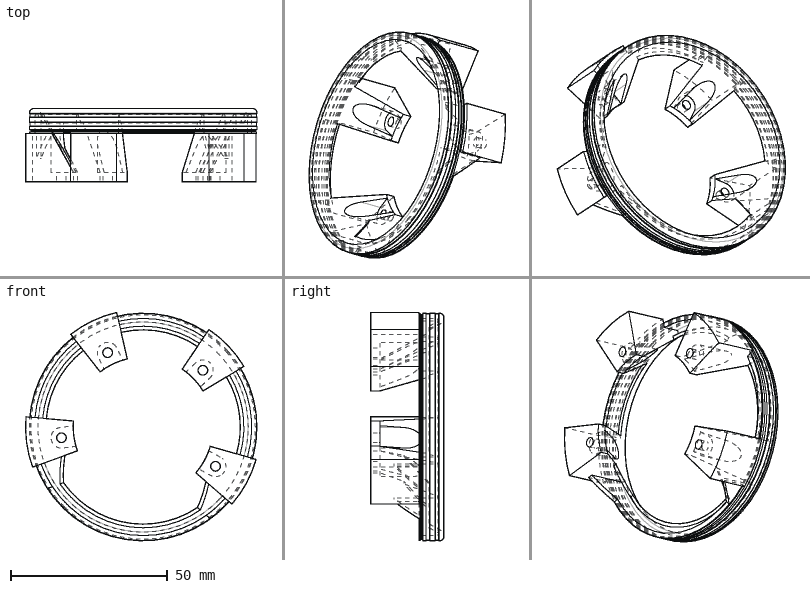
import math

import cadquery as cq


RING_HEIGHT = 8.0
RING_RADIUS = 36.3
RIM_RADIUS = 36.2
BACK_FILLET = 1.4
GROOVE_DEPTH = 0.15
GROOVES = ((2.2, 3.6), (5.1, 6.4))
NECK_FRONT = 0.4
NECK_BACK = 1.3
NECK_DEPTH = 0.45
NECK_FLOOR_WIDTH = 0.3

CHANNEL_RADIUS = 34.6
CHANNEL_FLOOR_RADIUS = 0.6
INNER_WALL_THICKNESS = 1.2
INNER_WALL_FRONT = 3.3

FOOT_COUNT = 5
GAP_ANGLE = 259.5
FOOT_PITCH = 360 / FOOT_COUNT
FOOT_SPAN = 25.0
FOOT_LENGTH = 15.4
FOOT_INNER_RADIUS = 22.25
FOOT_OUTER_RADIUS = 37.5
FOOT_FLOOR = 3.0

CONE_START_Y = FOOT_FLOOR - FOOT_LENGTH
CONE_RADIUS_AT_RIM = 29.1
CONE_SLOPE = (FOOT_INNER_RADIUS - CONE_RADIUS_AT_RIM) / CONE_START_Y
BLANK_RADIUS = FOOT_INNER_RADIUS - 2.0

HOLE_DIAMETER = 3.0
HOLE_RADIAL_POSITION = 26.25
SLOT_WIDTH = 6.6
SLOT_END_Y = 2.0

WEB_LEG = 8.0


def cone_radius(y):
    """Radius of the inner conical surface at height y."""
    return CONE_RADIUS_AT_RIM + CONE_SLOPE * y


def turn(shape, angle):
    """Turn a shape about the ring axis from +X to the given angle."""
    return shape.rotate((0, 0, 0), (0, 1, 0), -angle)


def revolve_profile(profile):
    """Revolve a closed (radius, y) profile about the ring axis."""
    return profile.close().revolve(360, (0, 0, 0), (0, 1, 0))


def make_ring():
    """The ring with a straight bore; the inner cone is cut later."""
    groove_radius = RING_RADIUS - GROOVE_DEPTH
    neck_radius = RIM_RADIUS - NECK_DEPTH
    neck_middle = (NECK_FRONT + NECK_BACK) / 2

    profile = (
        cq.Workplane("XY")
        .moveTo(CHANNEL_RADIUS, 0)
        .lineTo(RIM_RADIUS, 0)
        .lineTo(RIM_RADIUS, NECK_FRONT)
        .lineTo(neck_radius, neck_middle - NECK_FLOOR_WIDTH / 2)
        .lineTo(neck_radius, neck_middle + NECK_FLOOR_WIDTH / 2)
        .lineTo(RING_RADIUS, NECK_BACK)
    )
    for front, back in GROOVES:
        profile = (
            profile.lineTo(RING_RADIUS, front)
            .lineTo(groove_radius, front + GROOVE_DEPTH)
            .lineTo(groove_radius, back - GROOVE_DEPTH)
            .lineTo(RING_RADIUS, back)
        )

    wall_angle = math.atan(CONE_SLOPE)
    round_center = CHANNEL_RADIUS - CHANNEL_FLOOR_RADIUS
    tangent_radius = round_center - CHANNEL_FLOOR_RADIUS * math.cos(wall_angle)
    wall_back_radius = cone_radius(INNER_WALL_FRONT) + INNER_WALL_THICKNESS
    tangent_y = INNER_WALL_FRONT + (tangent_radius - wall_back_radius) / CONE_SLOPE
    round_y = tangent_y - CHANNEL_FLOOR_RADIUS * math.sin(wall_angle)
    profile = (
        profile.lineTo(RING_RADIUS, RING_HEIGHT - BACK_FILLET)
        .radiusArc((RING_RADIUS - BACK_FILLET, RING_HEIGHT), -BACK_FILLET)
        .lineTo(BLANK_RADIUS, RING_HEIGHT)
        .lineTo(BLANK_RADIUS, INNER_WALL_FRONT)
        .lineTo(wall_back_radius, INNER_WALL_FRONT)
        .lineTo(tangent_radius, tangent_y)
        .threePointArc(
            (round_center, round_y + CHANNEL_FLOOR_RADIUS),
            (CHANNEL_RADIUS, round_y),
        )
    )
    return revolve_profile(profile)


def make_foot():
    """Solid foot on +X before the cone is cut, with its root filling the channel."""
    half_span = math.radians(FOOT_SPAN / 2)
    reach = 2 * FOOT_OUTER_RADIUS
    sector = (
        cq.Workplane("XZ", origin=(0, RING_HEIGHT, 0))
        .lineTo(reach, -reach * math.tan(half_span))
        .lineTo(reach, reach * math.tan(half_span))
        .close()
        .extrude(RING_HEIGHT + FOOT_LENGTH)
    )
    root_radius = (CHANNEL_RADIUS + RIM_RADIUS) / 2
    root_end_y = RING_HEIGHT - BACK_FILLET
    section = (
        cq.Workplane("XY")
        .moveTo(BLANK_RADIUS, -FOOT_LENGTH)
        .lineTo(FOOT_OUTER_RADIUS, -FOOT_LENGTH)
        .lineTo(FOOT_OUTER_RADIUS, 0)
        .lineTo(root_radius, 0)
        .lineTo(root_radius, root_end_y)
        .lineTo(BLANK_RADIUS, root_end_y)
    )
    return revolve_profile(section).intersect(sector)


def make_inner_cone():
    """Core removed from the ring, the feet and the webs."""
    return revolve_profile(
        cq.Workplane("XY")
        .moveTo(0, -FOOT_LENGTH)
        .lineTo(FOOT_INNER_RADIUS, -FOOT_LENGTH)
        .lineTo(FOOT_INNER_RADIUS, CONE_START_Y)
        .lineTo(cone_radius(RING_HEIGHT), RING_HEIGHT)
        .lineTo(0, RING_HEIGHT)
    )


def make_screw_seat():
    """Screw hole and slot of the foot on +X."""
    hole = (
        cq.Workplane("XZ", origin=(0, CONE_START_Y, 0))
        .center(HOLE_RADIAL_POSITION, 0)
        .circle(HOLE_DIAMETER / 2)
        .extrude(FOOT_FLOOR)
    )
    slot = (
        cq.Workplane("XZ", origin=(0, SLOT_END_Y, 0))
        .moveTo(0, -SLOT_WIDTH / 2)
        .lineTo(HOLE_RADIAL_POSITION, -SLOT_WIDTH / 2)
        .threePointArc(
            (HOLE_RADIAL_POSITION + SLOT_WIDTH / 2, 0),
            (HOLE_RADIAL_POSITION, SLOT_WIDTH / 2),
        )
        .lineTo(0, SLOT_WIDTH / 2)
        .close()
        .extrude(SLOT_END_Y - CONE_START_Y)
    )
    return hole.union(slot)


def make_wedge(base_y, side):
    """45 degree wedge beside the radial plane through +X; side is the sign of its Z."""
    return (
        cq.Workplane("YZ")
        .moveTo(base_y, 0)
        .lineTo(base_y - WEB_LEG, 0)
        .lineTo(base_y, side * WEB_LEG)
        .close()
        .extrude(FOOT_OUTER_RADIUS)
    )


def make_webs():
    """Gussets joining both walls of the ring to the two feet beside the gap."""
    outer_wall = revolve_profile(
        cq.Workplane("XY")
        .moveTo(CHANNEL_RADIUS, 0)
        .lineTo(RIM_RADIUS, 0)
        .lineTo(RIM_RADIUS, -WEB_LEG)
        .lineTo(CHANNEL_RADIUS, -WEB_LEG)
    )
    tip_y = INNER_WALL_FRONT - WEB_LEG
    inner_wall = revolve_profile(
        cq.Workplane("XY")
        .moveTo(BLANK_RADIUS, INNER_WALL_FRONT)
        .lineTo(cone_radius(INNER_WALL_FRONT) + INNER_WALL_THICKNESS, INNER_WALL_FRONT)
        .lineTo(cone_radius(tip_y) + INNER_WALL_THICKNESS, tip_y)
        .lineTo(BLANK_RADIUS, tip_y)
    )
    webs = []
    for side in (1, -1):
        foot_edge = GAP_ANGLE - side * (FOOT_PITCH - FOOT_SPAN / 2)
        for wall, base_y in ((outer_wall, 0), (inner_wall, INNER_WALL_FRONT)):
            webs.append(wall.intersect(turn(make_wedge(base_y, side), foot_edge)))
    return webs


foot_angles = [GAP_ANGLE + place * FOOT_PITCH for place in range(1, FOOT_COUNT)]

result = make_ring()
for angle in foot_angles:
    result = result.union(turn(make_foot(), angle))
for web in make_webs():
    result = result.union(web)
result = result.cut(make_inner_cone())
for angle in foot_angles:
    result = result.cut(turn(make_screw_seat(), angle))